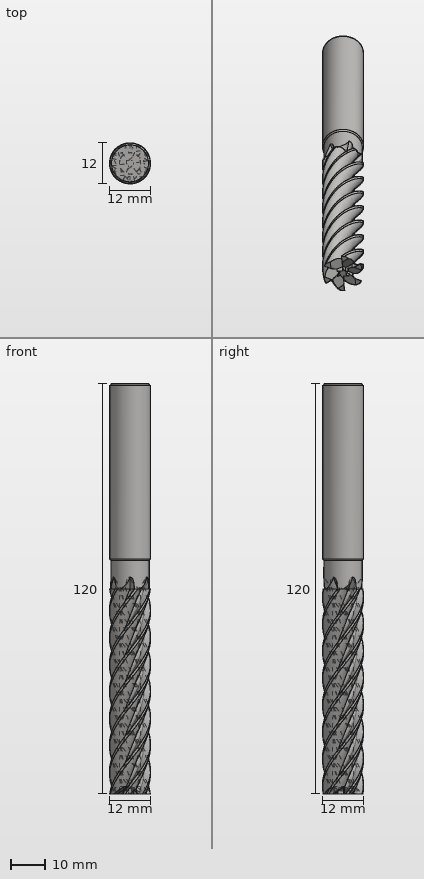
import cadquery as cq
import math


TOTAL_LENGTH = 120.0
TOOL_RADIUS = 6.0
CUTTER_LENGTH = 60.0
CLEAR_RADIUS = 7.2

NECK_RADIUS = 5.6
NECK_TOP = 68.3
NECK_CONE_HEIGHT = 0.5
SHANK_CHAMFER = 0.6

FLUTE_COUNT = 6
HELIX_PITCH = 47.3
TOP_EDGE_ANGLE = -76.0
LAND_ANGLE = 9.0
BACK_RADIUS = 4.9
BACK_ANGLE = 29.0
CORE_RADIUS = 3.1
CORE_ANGLE = 46.0
ROOT_MIDDLE_RADIUS = 3.4
ROOT_MIDDLE_ANGLE = 56.0
ROOT_RADIUS = 4.1
ROOT_ANGLE = 61.0
TOOTH_STEP = 360.0 / FLUTE_COUNT
TWIST = 360.0 * CUTTER_LENGTH / HELIX_PITCH
BOTTOM_EDGE_ANGLE = TOP_EDGE_ANGLE - TWIST

RUNOUT_HEIGHT = 4.8
RUNOUT_SLOPE = 0.74

GASH_DEPTH = 2.3
GASH_WIDTH = 3.4
GASH_START = 1.0


def polar(radius, angle):
    """X and Y of a point at an angle in degrees."""
    return (
        radius * math.cos(math.radians(angle)),
        radius * math.sin(math.radians(angle)),
    )


def add_flute(path, start):
    """Draw one flute from the back of a tooth to the next cutting edge."""
    return (
        path.threePointArc(
            polar(BACK_RADIUS, start + BACK_ANGLE),
            polar(CORE_RADIUS, start + CORE_ANGLE),
        )
        .threePointArc(
            polar(ROOT_MIDDLE_RADIUS, start + ROOT_MIDDLE_ANGLE),
            polar(ROOT_RADIUS, start + ROOT_ANGLE),
        )
        .lineTo(*polar(TOOL_RADIUS, start + TOOTH_STEP))
    )


def make_fluted_bar():
    """The toothed section, twisted along the length of the cutter."""
    path = cq.Workplane("XY").moveTo(*polar(TOOL_RADIUS, BOTTOM_EDGE_ANGLE))
    for tooth in range(FLUTE_COUNT):
        start = BOTTOM_EDGE_ANGLE + tooth * TOOTH_STEP
        path = path.lineTo(*polar(TOOL_RADIUS, start + LAND_ANGLE))
        path = add_flute(path, start)
    return path.close().twistExtrude(CUTTER_LENGTH, TWIST)


def make_end_gash(edge_angle):
    """A radial wedge under the end face, steep against the cutting edge."""
    return (
        cq.Workplane("YZ", origin=(GASH_START, 0, 0))
        .polyline([(0, 0), (0, GASH_DEPTH), (-GASH_WIDTH, 0)])
        .close()
        .extrude(CLEAR_RADIUS - GASH_START)
        .rotate((0, 0, 0), (0, 0, 1), edge_angle)
    )


def make_cutter():
    """The fluted bar with its end teeth."""
    body = make_fluted_bar()
    for tooth in range(FLUTE_COUNT):
        body = body.cut(make_end_gash(BOTTOM_EDGE_ANGLE + tooth * TOOTH_STEP))
    return body


def make_runout(start):
    """A flute section that rises along the neck while moving outward."""
    profile = cq.Workplane("XY").moveTo(*polar(TOOL_RADIUS, start + LAND_ANGLE))
    profile = (
        add_flute(profile, start)
        .lineTo(*polar(CLEAR_RADIUS, start + TOOTH_STEP))
        .lineTo(*polar(CLEAR_RADIUS, start + LAND_ANGLE))
        .close()
    )
    outward = polar(RUNOUT_SLOPE * RUNOUT_HEIGHT, start + CORE_ANGLE)
    solid = cq.Solid.extrudeLinear(
        profile.val(), [], cq.Vector(*outward, RUNOUT_HEIGHT)
    )
    return cq.Workplane(obj=solid.translate(cq.Vector(0, 0, CUTTER_LENGTH)))


def make_shank():
    """The round shank and neck, with every flute running out in the neck."""
    body = (
        cq.Workplane("XZ")
        .moveTo(0, CUTTER_LENGTH)
        .lineTo(NECK_RADIUS, CUTTER_LENGTH)
        .lineTo(NECK_RADIUS, NECK_TOP)
        .lineTo(TOOL_RADIUS, NECK_TOP + NECK_CONE_HEIGHT)
        .lineTo(TOOL_RADIUS, TOTAL_LENGTH - SHANK_CHAMFER)
        .lineTo(TOOL_RADIUS - SHANK_CHAMFER, TOTAL_LENGTH)
        .lineTo(0, TOTAL_LENGTH)
        .close()
        .revolve(360, (0, 0, 0), (0, 1, 0))
    )
    for tooth in range(FLUTE_COUNT):
        body = body.cut(make_runout(TOP_EDGE_ANGLE + tooth * TOOTH_STEP))
    return body


cutter = make_cutter()
shank = make_shank()

result = cq.Compound.makeCompound([cutter.val(), shank.val()])